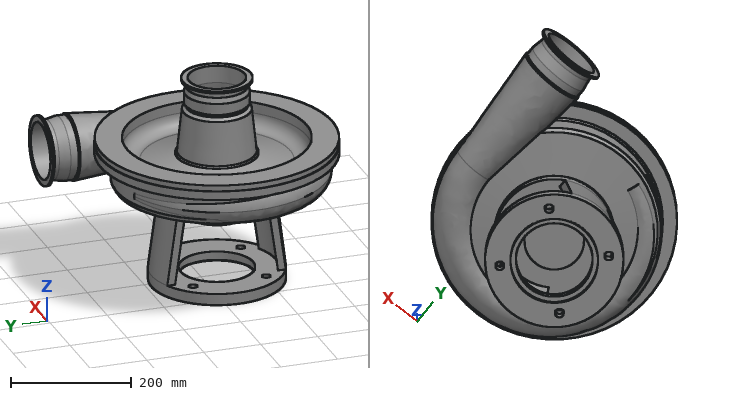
import cadquery as cq
import math


foot_radius = 115.0
foot_height = 20.5
foot_bore_radius = 63.5
foot_recess_radius = 72.5
foot_recess_depth = 5.5
foot_hole_radius = 7.3
foot_hole_circle_radius = 91.0
foot_hole_count = 4
foot_first_hole_angle = 45
plate_radius = 100.0
plate_bottom = 140.0
plate_top = 160.3
plate_spigot_radius = 98.0
leg_width = 97.0
leg_wall = 12.3
hub_radius = 49.5
hub_bottom = 116.0

drum_radius = 176.5
drum_bottom = 172.0
drum_bottom_chamfer_width = 5.0
drum_bottom_chamfer_height = 9.0
drum_floor = 166.0
drum_flare = 3.5
flange_bottom = 228.5
flange_joint = 244.0
flange_top = 254.2
flange_radius = 204.0
flange_cover_radius = 203.0

recess_radius = 157.5
dish_floor_radius = 128.5
dish_floor_outer_z = 212.5
dish_floor_inner_z = 227.0

volute_z = 195.5
volute_start_angle = 110
volute_end_angle = 360
volute_section_count = 10
volute_growth_power = 1.4
tube_start_radius = 27.2
tube_end_radius = 38.5
volute_start_reach = 177.0
volute_end_reach = 208.0

inlet_top = 362.5
inlet_base_radius = 69.5
inlet_base_chamfer = 3.0
inlet_cone_top_radius = 58.0
outlet_x = 170.2
outlet_end = 250.0
outlet_cone_radius = 56.8
fitting_flange_radius = 59.5
fitting_flange_thickness = 3.5
fitting_neck_radius = 51.5
fitting_bulge_radius = 55.0
fitting_groove_taper = 2.3
fitting_flange_taper = 3.5
inlet_bulge = (15.0, 24.5, 44.5)
outlet_bulge = (15.0, 34.0, 47.5)
inlet_shoulder = 5.5
bore_radius = 48.5
bore_relief_radius = 51.0
bore_relief_start = 30.5
bore_relief_end = 45.5
fitting_length = 50.5


def cylinder(radius, bottom, top):
    return cq.Workplane("XY").workplane(offset=bottom).circle(radius).extrude(top - bottom)


def revolve_z(points):
    """Revolve a closed (radius, z) outline about the Z axis."""
    return cq.Workplane("XZ").polyline(points).close().revolve(360, (0, 0), (0, 1))


def make_fitting(bulge):
    """Pipe fitting along Z, with its open end at Z = 0 and its body below."""
    cone_start, cone_end, bulge_end = bulge
    groove_start = bulge_end + fitting_groove_taper
    return revolve_z([
        (0, 0),
        (fitting_flange_radius, 0),
        (fitting_flange_radius, -fitting_flange_thickness),
        (fitting_neck_radius, -fitting_flange_thickness - fitting_flange_taper),
        (fitting_neck_radius, -cone_start),
        (fitting_bulge_radius, -cone_end),
        (fitting_bulge_radius, -bulge_end),
        (fitting_neck_radius, -groove_start),
        (fitting_neck_radius, -fitting_length),
        (0, -fitting_length),
    ])


def make_bore(depth):
    """Bore down from Z = 0, with a relief that widens to a step inside the fitting."""
    return revolve_z([
        (0, 0),
        (bore_radius, 0),
        (bore_radius, -bore_relief_start),
        (bore_relief_radius, -bore_relief_end),
        (bore_radius, -bore_relief_end),
        (bore_radius, -depth),
        (0, -depth),
    ])


def turn_to_outlet(body):
    """Move a body made along Z, open end at Z = 0, onto the outlet axis."""
    return body.rotate((0, 0, 0), (1, 0, 0), -90).translate((outlet_x, outlet_end, volute_z))


def make_foot():
    """Foot ring with a bore, a shallow recess underneath and bolt holes."""
    foot = cylinder(foot_radius, 0, foot_height)
    foot = foot.cut(cylinder(foot_bore_radius, 0, foot_height))
    foot = foot.cut(cylinder(foot_recess_radius, 0, foot_recess_depth))
    holes = (
        cq.Workplane("XY")
        .polarArray(foot_hole_circle_radius, foot_first_hole_angle, 360, foot_hole_count)
        .circle(foot_hole_radius)
        .extrude(foot_height)
    )
    return foot.cut(holes)


def make_legs():
    """Two opposite strips cut from a conical shell between foot and plate."""
    shell = revolve_z([
        (foot_radius - leg_wall, foot_height),
        (foot_radius, foot_height),
        (plate_radius, plate_bottom),
        (plate_radius - leg_wall, plate_bottom),
    ])
    strip = cq.Workplane("XY").box(
        leg_width, 2 * foot_radius, plate_bottom, centered=(True, True, False)
    )
    return shell.intersect(strip)


def make_drum():
    """Drum with a shallow conical underside and the two-layer flange on top."""
    drum = revolve_z([
        (0, drum_floor),
        (plate_spigot_radius, drum_floor),
        (drum_radius - drum_bottom_chamfer_width, drum_bottom),
        (drum_radius, drum_bottom + drum_bottom_chamfer_height),
        (drum_radius, flange_bottom - drum_flare),
        (drum_radius + drum_flare, flange_bottom),
        (0, flange_bottom),
    ])
    flange = cylinder(flange_radius, flange_bottom, flange_joint)
    cover = cylinder(flange_cover_radius, flange_joint, flange_top)
    return drum.union(flange).union(cover)


def make_volute():
    """Loft round sections along the spiral, from the tongue round to +X."""
    sections = []
    for index in range(volute_section_count):
        share = index / (volute_section_count - 1)
        angle = math.radians(
            volute_start_angle + (volute_end_angle - volute_start_angle) * share
        )
        tube_radius = tube_start_radius + (tube_end_radius - tube_start_radius) * share
        growth = share ** volute_growth_power
        reach = volute_start_reach + (volute_end_reach - volute_start_reach) * growth
        centre_radius = reach - tube_radius
        centre = cq.Vector(
            centre_radius * math.cos(angle), centre_radius * math.sin(angle), volute_z
        )
        along = cq.Vector(-math.sin(angle), math.cos(angle), 0)
        sections.append(cq.Wire.makeCircle(tube_radius, centre, along))
    return cq.Workplane(cq.Solid.makeLoft(sections))


def make_outlet():
    """Widening cone from the end of the volute, with the outlet fitting."""
    along = cq.Vector(0, 1, 0)
    volute_end = cq.Vector(volute_end_reach - tube_end_radius, 0, volute_z)
    cone_end = cq.Vector(outlet_x, outlet_end - fitting_length, volute_z)
    cone = cq.Solid.makeLoft([
        cq.Wire.makeCircle(tube_end_radius, volute_end, along),
        cq.Wire.makeCircle(outlet_cone_radius, cone_end, along),
    ], True)
    fitting = turn_to_outlet(make_fitting(outlet_bulge))
    return cq.Workplane(cone).union(fitting)


def make_recess():
    """Dish: straight wall, then an arc tangent to both wall and conical floor."""
    slope = math.atan2(
        dish_floor_inner_z - dish_floor_outer_z, dish_floor_radius - inlet_base_radius
    )
    arc_radius = (recess_radius - dish_floor_radius) / (1 + math.sin(slope))
    arc_centre_r = recess_radius - arc_radius
    arc_centre_z = dish_floor_outer_z + arc_radius * math.cos(slope)
    middle = (slope + math.pi / 2) / 2 - slope
    arc_middle = (
        arc_centre_r + arc_radius * math.sin(middle),
        arc_centre_z - arc_radius * math.cos(middle),
    )
    return (
        cq.Workplane("XZ")
        .moveTo(0, flange_top)
        .lineTo(recess_radius, flange_top)
        .lineTo(recess_radius, arc_centre_z)
        .threePointArc(arc_middle, (dish_floor_radius, dish_floor_outer_z))
        .lineTo(inlet_base_radius, dish_floor_inner_z)
        .lineTo(0, dish_floor_inner_z)
        .close()
        .revolve(360, (0, 0), (0, 1))
    )


def make_inlet():
    """Tapered inlet neck with a small flared base, carrying the inlet fitting."""
    shoulder_top = inlet_top - fitting_length
    cone = revolve_z([
        (0, dish_floor_inner_z),
        (inlet_base_radius, dish_floor_inner_z),
        (inlet_base_radius - inlet_base_chamfer, dish_floor_inner_z + inlet_base_chamfer),
        (inlet_cone_top_radius, shoulder_top - inlet_shoulder),
        (fitting_neck_radius, shoulder_top),
        (0, shoulder_top),
    ])
    return cone.union(make_fitting(inlet_bulge).translate((0, 0, inlet_top)))


casing = make_drum().union(make_volute()).union(make_outlet()).cut(make_recess())
casing = casing.union(make_inlet())

inlet_bore = make_bore(inlet_top - dish_floor_inner_z).translate((0, 0, inlet_top))
outlet_bore = turn_to_outlet(make_bore(fitting_length))
casing = casing.cut(inlet_bore).cut(outlet_bore)

bearing = cylinder(plate_radius, plate_bottom, plate_top)
bearing = bearing.union(cylinder(plate_spigot_radius, plate_top, drum_floor))
bearing = bearing.union(cylinder(hub_radius, hub_bottom, plate_bottom))

result = casing.union(bearing).union(make_legs()).union(make_foot())